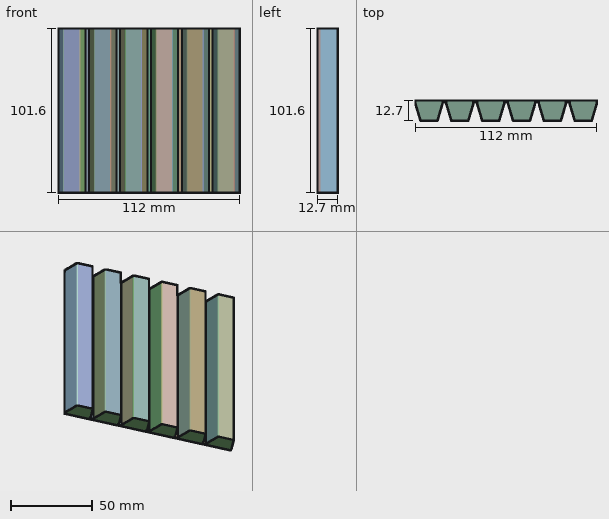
import cadquery as cq

length = 112.0
depth = 12.7
height = 101.6

rib_count = 6
rib_pitch = 19.0
rib_root_width = length - (rib_count - 1) * rib_pitch
rib_tip_width = 10.5
tip_radius = 0.8

web_thickness = 1.2
straight_side_depth = 2.1
back_edge_radius = 0.3

back_y = depth / 2
front_y = -depth / 2


def make_rib(center_x):
    """Vertical rib with straight root sides, tapered flanks and a rounded tip."""
    half_root = rib_root_width / 2
    half_tip = rib_tip_width / 2
    taper_y = back_y - straight_side_depth
    profile = [
        (center_x - half_root, back_y),
        (center_x + half_root, back_y),
        (center_x + half_root, taper_y),
        (center_x + half_tip, front_y),
        (center_x - half_tip, front_y),
        (center_x - half_root, taper_y),
    ]
    rib = cq.Workplane("XY").polyline(profile).close().extrude(height)
    return rib.faces("<Y").edges("|Z").fillet(tip_radius)


result = cq.Workplane("XY").box(length, web_thickness, height, centered=(True, True, False))
result = result.translate((0, back_y - web_thickness / 2, 0))

first_rib_x = -(rib_count - 1) * rib_pitch / 2
for index in range(rib_count):
    result = result.union(make_rib(first_rib_x + index * rib_pitch))

result = result.clean().faces(">Y").edges("|Z").fillet(back_edge_radius)